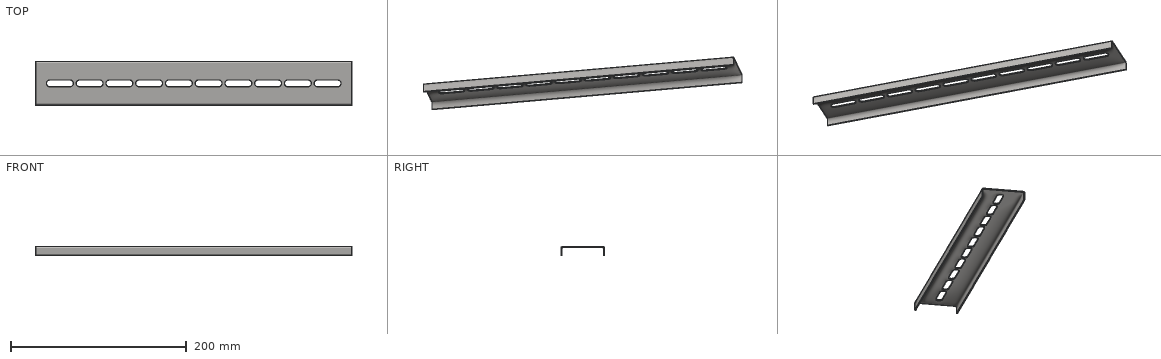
import cadquery as cq

length = 360.0
width = 50.0
height = 10.0
thickness = 1.5
outer_bend_radius = 2.0
inner_bend_radius = outer_bend_radius - thickness

slot_count = 10
slot_pitch = 34.0
slot_length = 30.2
slot_width = 7.5


def make_channel():
    """Bent sheet channel with a flat web on top and a flange down each side."""
    outer = (
        cq.Workplane("XY")
        .box(length, width, height)
        .edges("|X and >Z")
        .fillet(outer_bend_radius)
    )
    inner = (
        cq.Workplane("XY")
        .box(length, width - 2 * thickness, height)
        .edges("|X and >Z")
        .fillet(inner_bend_radius)
        .translate((0, 0, -thickness))
    )
    return outer.cut(inner)


def make_slots():
    """Cutters for the evenly spaced round-ended slots."""
    return (
        cq.Workplane("XY")
        .rarray(slot_pitch, 3.5, slot_count, 1)
        .slot2D(slot_length, slot_width)
        .extrude(height)
    )


result = make_channel().cut(make_slots())